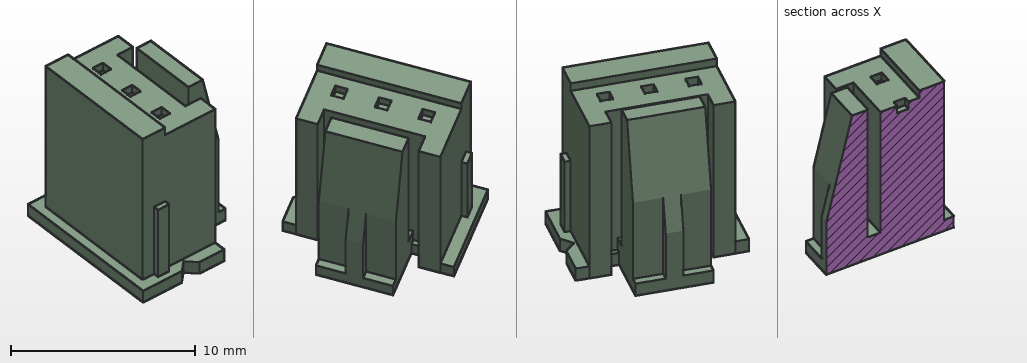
import cadquery as cq

total_height = 10.5
total_depth = 8.0

flange_width = 9.8
flange_depth = 5.69
flange_height = 0.8

body_width = 8.25
body_front = 0.6
body_back = 5.7
deck_height = 10.01
front_wall_back = 2.18

recess_width = 5.78
recess_floor_y = 4.62
sill_back = 4.92

latch_width = 4.41
latch_inner_y = 5.4
latch_outer_y = 7.52
latch_tip_back = 6.4
latch_slope_start = 3.73
latch_web_height = 1.58
latch_rib_width = 1.0

ridge_width = 8.94
ridge_front = 1.41
ridge_back = 2.18
ridge_height = 5.42

contact_pitch = 2.5
contact_size = 0.7
contact_depth = 0.5
contact_y = 3.21
contact_count = 3

notch_y = 3.33
notch_depth = 0.61


def block(width, y_front, y_back, z_bottom, z_top):
    """Box centred on X between the given Y and Z limits."""
    size = (width, y_back - y_front, z_top - z_bottom)
    return cq.Workplane("XY").box(*size, centered=(True, False, False)).translate((0, y_front, z_bottom))


def make_housing():
    flange = block(flange_width, 0, flange_depth, 0, flange_height)
    body = block(body_width, body_front, body_back, 0, deck_height)
    front_wall = block(body_width, body_front, front_wall_back, 0, total_height)
    ridges = block(ridge_width, ridge_front, ridge_back, 0, ridge_height)
    housing = flange.union(body).union(front_wall).union(ridges)

    recess = block(recess_width, recess_floor_y, body_back, flange_height, total_height)
    sill_gap = block(recess_width, sill_back, body_back, 0, flange_height)
    return housing.cut(recess).cut(sill_gap)


def make_latch():
    profile = [
        (recess_floor_y, 0),
        (total_depth, 0),
        (total_depth, latch_slope_start),
        (latch_tip_back, total_height),
        (latch_inner_y, total_height),
        (latch_inner_y, latch_web_height),
        (recess_floor_y, latch_web_height),
    ]
    latch = cq.Workplane("YZ").polyline(profile).close().extrude(latch_width / 2, both=True)

    relief = block(latch_width, latch_outer_y, total_depth, flange_height, total_height)
    rib = block(latch_rib_width, latch_outer_y, total_depth, flange_height, total_height)
    return latch.cut(relief.cut(rib))


def make_contact_pockets():
    pocket = block(
        contact_size,
        contact_y - contact_size / 2,
        contact_y + contact_size / 2,
        deck_height - contact_depth,
        deck_height,
    )
    pockets = cq.Workplane("XY")
    for index in range(contact_count):
        x = (index - (contact_count - 1) / 2) * contact_pitch
        pockets = pockets.union(pocket.translate((x, 0, 0)))
    return pockets


def make_key_notch():
    edge_x = flange_width / 2
    corners = [
        (edge_x, notch_y - notch_depth),
        (edge_x - notch_depth, notch_y),
        (edge_x, notch_y + notch_depth),
    ]
    return cq.Workplane("XY").polyline(corners).close().extrude(flange_height)


result = make_housing().union(make_latch()).cut(make_contact_pockets()).cut(make_key_notch())